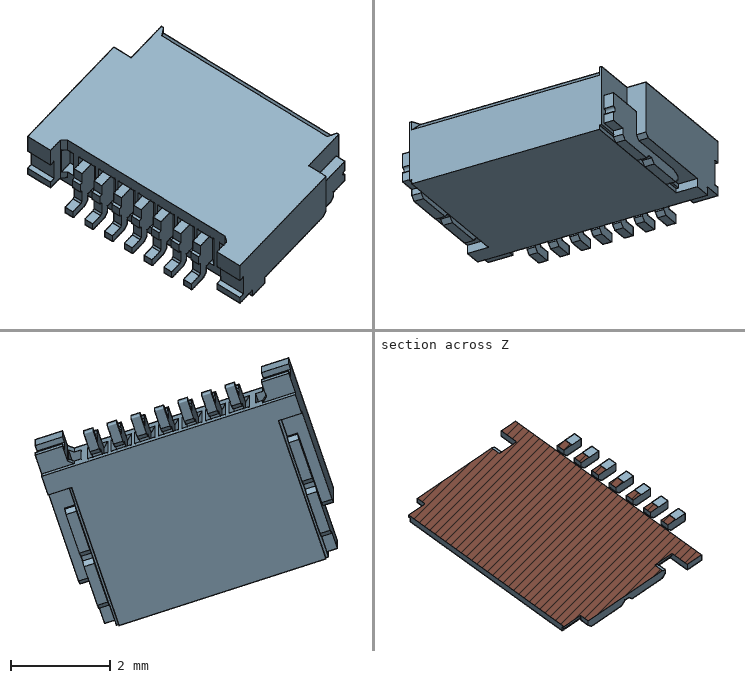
import cadquery as cq

WIDTH = 5.4
LENGTH = 4.05
HEIGHT = 1.5
HALF_WIDTH = WIDTH / 2

HOUSING_BOTTOM = 0.06
MOUTH_HALF_WIDTH = 2.255
SHOULDER_Y = 3.045
WIDE_BOTTOM = 0.25
WIDE_CHAMFER = 0.09
BOTTOM_STEP_TOP = 0.155
BOTTOM_STEP = 0.055
REAR_FACE_Y = 0.6
FOOT_END_Y = 1.01
EAR_END_Y = 0.185
EAR_INNER_X = 2.115
EAR_CORNER_X = 0.115
EAR_CORNER_Y = 0.09
EAR_GROOVE_BOTTOM = 0.445
EAR_GROOVE_TOP = 1.01
EAR_GROOVE_DEPTH = 0.12

LEAD_IN_LENGTH = 0.19
LEAD_IN_DROP = 0.19
LEAD_IN_OUTER_X = 2.205
LEAD_IN_INNER_X = 2.105

CONTACT_COUNT = 7
CONTACT_PITCH = 0.5
CONTACT_WIDTH = 0.2
CONTACT_TOP = 1.165
CONTACT_BACK_Y = 0.865
LEG_FRONT_Y = 0.3
LEG_BACK_Y = 0.495
LEG_CHAMFER = 0.09
TAIL_TOP = 0.21
TAIL_CHAMFER = 0.04
TIP_RADIUS = 0.03
BUMP_Y = 0.245
BUMP_BOTTOM = 0.58
BUMP_TOP = 0.875
BUMP_SLOPE = 0.04
BUMP_TOP_SLOPE = 0.015
POCKET_BOTTOM = 0.29
POCKET_WIDTH = 0.43
POCKET_DEPTH = 0.11

SIDE_POCKET_INNER_X = 1.86
SIDE_POCKET_OUTER_X = 2.1
SIDE_POCKET_DEPTH = 0.215

TAB_OUTER_X = 2.48
TAB_THICKNESS = TAB_OUTER_X - MOUTH_HALF_WIDTH
TAB_TOP = 0.875
TAB_END_Y = 3.96
TAB_NOTCH_Z = 0.5
TAB_NOTCH_RADIUS = 0.065
TAB_WING_BOTTOM = 0.23
TAB_FEET_FRONT_Y = 3.585
TAB_FEET_BACK_Y = 1.405
TAB_FEET_CHAMFER = 0.09
TAB_GAP_Y = 2.495
TAB_GAP_TOP_WIDTH = 0.1
TAB_GAP_HEIGHT = 0.095
TAB_BACK_SLOPE_BOTTOM = 0.18
TAB_BACK_SLOPE_LENGTH = 0.175


def box(x_range, y_range, z_range):
    """Box spanning the given (low, high) ranges."""
    size = [high - low for low, high in (x_range, y_range, z_range)]
    corner = (x_range[0], y_range[0], z_range[0])
    return cq.Workplane("XY").box(*size, centered=False).translate(corner)


def side_plate(points, x_start, thickness):
    """Plate with a (Y, Z) outline, extruded along +X from x_start."""
    return cq.Workplane("YZ").workplane(offset=x_start).polyline(points).close().extrude(thickness)


def on_both_sides(shape):
    """The shape together with its mirror image across X = 0."""
    return shape.union(shape.mirror("YZ"))


def make_housing():
    wide_body = side_plate(
        [
            (EAR_END_Y, WIDE_BOTTOM),
            (SHOULDER_Y - WIDE_CHAMFER, WIDE_BOTTOM),
            (SHOULDER_Y, WIDE_BOTTOM + WIDE_CHAMFER),
            (SHOULDER_Y, HEIGHT),
            (EAR_END_Y, HEIGHT),
        ],
        -HALF_WIDTH,
        WIDTH,
    )
    mouth_y = (REAR_FACE_Y, LENGTH)
    base_half_width = MOUTH_HALF_WIDTH - BOTTOM_STEP
    mouth_body = box((-MOUTH_HALF_WIDTH, MOUTH_HALF_WIDTH), mouth_y, (BOTTOM_STEP_TOP, HEIGHT))
    base = box((-base_half_width, base_half_width), mouth_y, (HOUSING_BOTTOM, BOTTOM_STEP_TOP))
    foot = box((-HALF_WIDTH, HALF_WIDTH), (REAR_FACE_Y, FOOT_END_Y), (HOUSING_BOTTOM, WIDE_BOTTOM))
    return wide_body.union(mouth_body).union(base).union(foot)


def make_rear_notch():
    """Opening between the ears, with its inner corners cut off."""
    corner_x = EAR_INNER_X - EAR_CORNER_X
    corner_y = REAR_FACE_Y - EAR_CORNER_Y
    return (
        cq.Workplane("XY")
        .polyline(
            [
                (-EAR_INNER_X, 0),
                (EAR_INNER_X, 0),
                (EAR_INNER_X, corner_y),
                (corner_x, REAR_FACE_Y),
                (-corner_x, REAR_FACE_Y),
                (-EAR_INNER_X, corner_y),
            ]
        )
        .close()
        .extrude(HEIGHT)
    )


def make_ear_groove():
    return box(
        (-HALF_WIDTH, HALF_WIDTH),
        (EAR_END_Y, EAR_END_Y + EAR_GROOVE_DEPTH),
        (EAR_GROOVE_BOTTOM, EAR_GROOVE_TOP),
    )


def make_lead_in():
    """Sloped cut across the top edge of the mouth, narrowing inwards."""
    slope_start_y = LENGTH - LEAD_IN_LENGTH
    wedge = side_plate(
        [(slope_start_y, HEIGHT), (LENGTH, HEIGHT), (LENGTH, HEIGHT - LEAD_IN_DROP)],
        -HALF_WIDTH,
        WIDTH,
    )
    limits = (
        cq.Workplane("XY")
        .polyline(
            [
                (-LEAD_IN_OUTER_X, LENGTH),
                (-LEAD_IN_INNER_X, slope_start_y),
                (LEAD_IN_INNER_X, slope_start_y),
                (LEAD_IN_OUTER_X, LENGTH),
            ]
        )
        .close()
        .extrude(HEIGHT)
    )
    return wedge.intersect(limits)


def make_contact_pocket():
    """Pocket centred on X = 0 that narrows to the contact width."""
    half_mouth = POCKET_WIDTH / 2
    half_contact = CONTACT_WIDTH / 2
    return (
        cq.Workplane("XY")
        .workplane(offset=POCKET_BOTTOM)
        .polyline(
            [
                (-half_mouth, REAR_FACE_Y),
                (half_mouth, REAR_FACE_Y),
                (half_contact, REAR_FACE_Y + POCKET_DEPTH),
                (-half_contact, REAR_FACE_Y + POCKET_DEPTH),
            ]
        )
        .close()
        .extrude(CONTACT_TOP - POCKET_BOTTOM)
    )


def make_side_pocket():
    return box(
        (SIDE_POCKET_INNER_X, SIDE_POCKET_OUTER_X),
        (REAR_FACE_Y - EAR_CORNER_Y, REAR_FACE_Y + SIDE_POCKET_DEPTH),
        (EAR_GROOVE_BOTTOM, CONTACT_TOP),
    )


def make_contact():
    """Contact centred on X = 0: plate in the pocket, bumped leg and solder tail."""
    outline = [
        (CONTACT_BACK_Y, CONTACT_TOP),
        (LEG_FRONT_Y, CONTACT_TOP),
        (LEG_FRONT_Y, BUMP_TOP),
        (BUMP_Y, BUMP_TOP - BUMP_TOP_SLOPE),
        (BUMP_Y, BUMP_BOTTOM + BUMP_SLOPE),
        (LEG_FRONT_Y, BUMP_BOTTOM),
        (LEG_FRONT_Y, TAIL_TOP + TAIL_CHAMFER),
        (LEG_FRONT_Y - TAIL_CHAMFER, TAIL_TOP),
        (0, TAIL_TOP),
        (0, 0),
        (LEG_BACK_Y - LEG_CHAMFER, 0),
        (LEG_BACK_Y, LEG_CHAMFER),
        (LEG_BACK_Y, POCKET_BOTTOM),
        (CONTACT_BACK_Y, POCKET_BOTTOM),
    ]
    contact = side_plate(outline, -CONTACT_WIDTH / 2, CONTACT_WIDTH)
    return contact.edges("|X and <Y and <Z").fillet(TIP_RADIUS)


def make_solder_tab():
    """Tab on the +X side of the housing, with two feet reaching the board."""
    gap_top = TAB_GAP_TOP_WIDTH / 2
    gap_bottom = gap_top + TAB_GAP_HEIGHT
    back_slope_end_y = TAB_FEET_BACK_Y + TAB_BACK_SLOPE_LENGTH
    outline = [
        (TAB_END_Y, TAB_TOP),
        (TAB_END_Y, TAB_WING_BOTTOM),
        (TAB_FEET_FRONT_Y, TAB_WING_BOTTOM),
        (TAB_FEET_FRONT_Y, TAB_FEET_CHAMFER),
        (TAB_FEET_FRONT_Y - TAB_FEET_CHAMFER, 0),
        (TAB_GAP_Y + gap_bottom, 0),
        (TAB_GAP_Y + gap_top, TAB_GAP_HEIGHT),
        (TAB_GAP_Y - gap_top, TAB_GAP_HEIGHT),
        (TAB_GAP_Y - gap_bottom, 0),
        (TAB_FEET_BACK_Y + TAB_FEET_CHAMFER, 0),
        (TAB_FEET_BACK_Y, TAB_FEET_CHAMFER),
        (TAB_FEET_BACK_Y, TAB_BACK_SLOPE_BOTTOM),
        (back_slope_end_y, WIDE_BOTTOM),
        (back_slope_end_y, TAB_TOP),
    ]
    tab = side_plate(outline, MOUTH_HALF_WIDTH, TAB_THICKNESS)
    notch = (
        cq.Workplane("YZ")
        .workplane(offset=MOUTH_HALF_WIDTH)
        .center(TAB_END_Y, TAB_NOTCH_Z)
        .circle(TAB_NOTCH_RADIUS)
        .extrude(TAB_THICKNESS)
    )
    return tab.cut(notch)


result = make_housing()
result = result.cut(make_rear_notch())
result = result.cut(make_ear_groove())
result = result.cut(make_lead_in())
result = result.cut(on_both_sides(make_side_pocket()))
for index in range(CONTACT_COUNT):
    contact_x = (index - (CONTACT_COUNT - 1) / 2) * CONTACT_PITCH
    result = result.cut(make_contact_pocket().translate((contact_x, 0, 0)))
    result = result.union(make_contact().translate((contact_x, 0, 0)))
result = result.union(on_both_sides(make_solder_tab()))